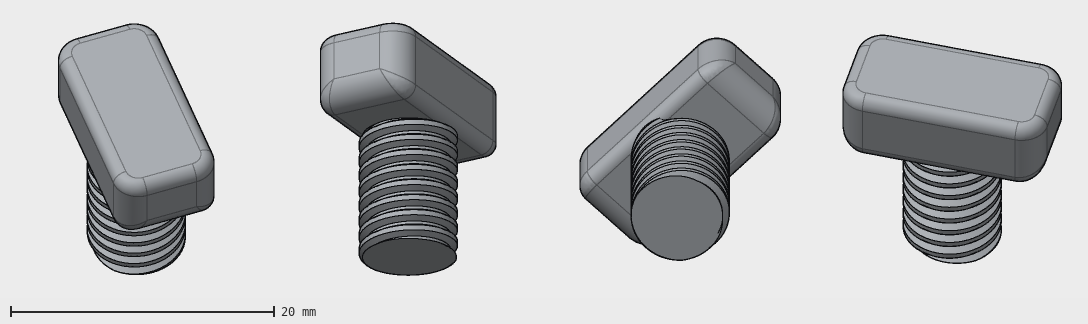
import cadquery as cq
import math

head_length = 16.0
head_width = head_length / 2
total_height = 16.0
head_height = 6.0
head_bottom = total_height - head_height
corner_radius = 2.0
edge_radius = corner_radius / 2

crest_diameter = 7.47
root_diameter = 6.45
pitch = head_bottom / 8
crest_width = 0.42
flank_angle = 30.0
thread_drop = 0.05
thread_start = -pitch / 2 - thread_drop
thread_turns = 10
core_overlap = 0.05
shank_embed = 0.96


def make_head():
    """Block with equal large rounds on the uprights and end undersides, then softer rims."""
    block = (
        cq.Workplane("XY")
        .workplane(offset=head_bottom)
        .rect(head_length, head_width)
        .extrude(head_height)
    )
    end_undersides = block.faces("<Z").edges("|Y")
    rounded = block.edges("|Z").add(end_undersides).fillet(corner_radius)
    return (
        rounded.faces(">Z").edges()
        .add(rounded.faces("<Z").edges("|X"))
        .fillet(edge_radius)
    )


def make_shank():
    """Core cylinder with a helical ridge, trimmed flat at both ends."""
    shank_top = head_bottom + shank_embed
    core = cq.Workplane("XY").circle(root_diameter / 2).extrude(shank_top)

    crest_radius = crest_diameter / 2
    base_radius = root_diameter / 2 - core_overlap
    crest_half = crest_width / 2
    flank_rise = (crest_radius - base_radius) * math.tan(math.radians(flank_angle))
    base_half = crest_half + flank_rise
    helix = cq.Wire.makeHelix(pitch, pitch * thread_turns, base_radius)
    ridge = (
        cq.Workplane("XZ")
        .polyline([
            (base_radius, -base_half),
            (crest_radius, -crest_half),
            (crest_radius, crest_half),
            (base_radius, base_half),
        ])
        .close()
        .sweep(cq.Workplane(helix), isFrenet=True)
        .rotate((0, 0, 0), (0, 0, 1), 180)
        .translate((0, 0, thread_start))
    )
    envelope = cq.Workplane("XY").circle(crest_diameter).extrude(shank_top)
    return core.union(ridge.intersect(envelope))


result = make_head().union(make_shank())